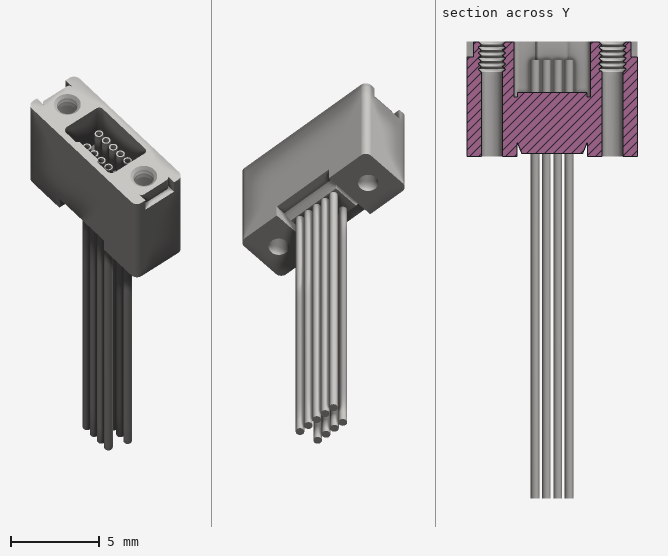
import cadquery as cq

total_height = 25.7
shell_height = 6.45
shell_bottom = total_height - shell_height

shell_length = 9.65
shell_width = 3.47
shell_corner_radius = 0.4
notch_length = 3.95
notch_height = 0.8

cavity_length = 4.27
cavity_back = 1.34
cavity_front = -1.35
cavity_depth = 3.08
cavity_back_radius = 0.25
cavity_front_radius = 0.3
key_length = 1.65
key_height = 0.15
key_draft = 0.13

insulator_width = 2.2
insulator_offset = 0.05
insulator_corner_radius = 0.23
insulator_step = 0.25
potting_height = 0.65
potting_taper = 22.5

back_row_count = 5
front_row_count = back_row_count - 1
back_row_length = 2.55
row_spacing = 1.13
wire_diameter = 0.5
contact_tip_depth = 1.03
contact_bore_diameter = 0.33
contact_bore_depth = 1.03

nut_size = 2.08
nut_corner_radius = 0.23
nut_spacing = 6.78
recess_depth = 0.82
thread_minor_diameter = 1.15
thread_major_diameter = 1.52
thread_pitch = 0.3
thread_turns = 6

cavity_floor = total_height - cavity_depth
notch_top = shell_bottom + notch_height
nut_positions = [(-nut_spacing / 2, 0), (nut_spacing / 2, 0)]
contact_pitch = back_row_length / (back_row_count - 1)
row_counts = {row_spacing / 2: back_row_count, -row_spacing / 2: front_row_count}
contact_positions = [
    ((i - (count - 1) / 2) * contact_pitch, y)
    for y, count in row_counts.items()
    for i in range(count)
]


def level(z):
    """Horizontal workplane at height z."""
    return cq.Workplane("XY").workplane(offset=z)


def make_shell():
    """Rounded block with a notch through its lower edge."""
    block = level(shell_bottom).rect(shell_length, shell_width).extrude(shell_height)
    block = block.edges("|Z").fillet(shell_corner_radius)
    notch = level(shell_bottom).rect(notch_length, shell_width).extrude(notch_height)
    return block.cut(notch)


def make_cavity():
    """Contact cavity, with a polarizing key left standing on its front wall."""
    cavity_width = cavity_back - cavity_front
    cavity = (
        level(cavity_floor)
        .center(0, (cavity_back + cavity_front) / 2)
        .rect(cavity_length, cavity_width)
        .extrude(cavity_depth)
    )
    cavity = cavity.edges("|Z and >Y").fillet(cavity_back_radius)
    cavity = cavity.edges("|Z and <Y").fillet(cavity_front_radius)
    key_top = key_length / 2
    key_base = key_top + key_draft
    key = (
        level(cavity_floor)
        .moveTo(-key_base, cavity_front)
        .lineTo(-key_top, cavity_front + key_height)
        .lineTo(key_top, cavity_front + key_height)
        .lineTo(key_base, cavity_front)
        .close()
        .extrude(cavity_depth)
    )
    return cavity.cut(key)


def make_insulator():
    """Raised step on the cavity floor and the tapered potting in the notch."""
    step = (
        level(cavity_floor)
        .center(0, insulator_offset)
        .rect(notch_length, insulator_width)
        .extrude(insulator_step)
    )
    step = step.edges("|Z").fillet(insulator_corner_radius)
    potting = (
        level(notch_top)
        .rect(notch_length, insulator_width)
        .extrude(-potting_height, taper=potting_taper)
    )
    return step.union(potting)


def make_wires():
    """Contacts and wires as straight rods, bored at the contact tips."""
    tip = total_height - contact_tip_depth
    rods = level(0).pushPoints(contact_positions).circle(wire_diameter / 2).extrude(tip)
    bores = (
        level(tip)
        .pushPoints(contact_positions)
        .circle(contact_bore_diameter / 2)
        .extrude(-contact_bore_depth)
    )
    return rods.cut(bores)


def make_end_recesses():
    """Gaps between the shell ends and the round-cornered jack nuts."""
    recess_inner_end = nut_spacing / 2
    recess_length = shell_length / 2 - recess_inner_end
    recess_center = recess_inner_end + recess_length / 2
    slots = (
        level(total_height)
        .pushPoints([(-recess_center, 0), (recess_center, 0)])
        .rect(recess_length, nut_size)
        .extrude(-recess_depth)
    )
    nuts = (
        level(total_height)
        .pushPoints(nut_positions)
        .rect(nut_size, nut_size)
        .extrude(-recess_depth)
    )
    nuts = nuts.edges("|Z").fillet(nut_corner_radius)
    return slots.cut(nuts)


def make_threaded_hole():
    """Through hole on the Z axis, with ring grooves for the thread near its top."""
    minor = thread_minor_diameter / 2
    major = thread_major_diameter / 2
    profile = cq.Workplane("XZ").moveTo(0, shell_bottom).lineTo(minor, shell_bottom)
    for turn in range(thread_turns, 0, -1):
        crest = total_height - (turn - 0.5) * thread_pitch
        profile = profile.lineTo(minor, crest)
        profile = profile.lineTo(major, crest + thread_pitch / 2)
    return profile.lineTo(0, total_height).close().revolve(360, (0, 0, 0), (0, 1, 0))


result = make_shell().cut(make_cavity()).cut(make_end_recesses())
result = result.union(make_insulator()).union(make_wires())
threaded_hole = make_threaded_hole()
for nut_x, nut_y in nut_positions:
    result = result.cut(threaded_hole.translate((nut_x, nut_y, 0)))